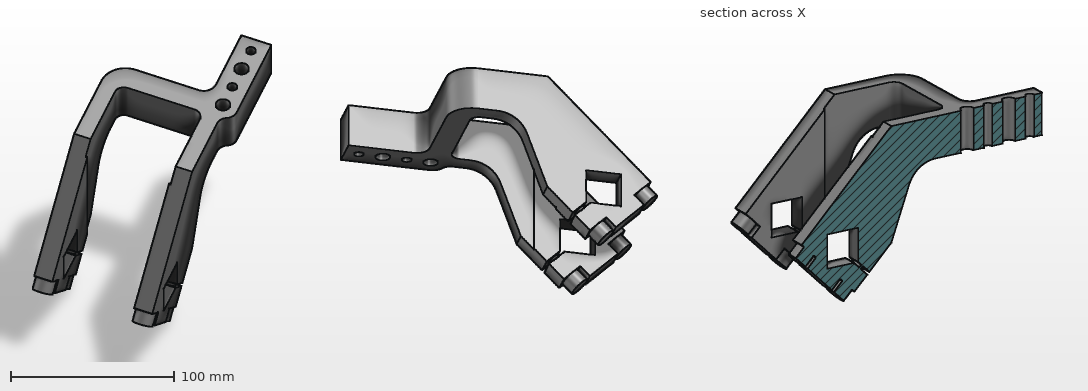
import cadquery as cq
import math

length = 179.5
leg_thickness = 12.0
leg_root_thickness = 11.0
leg_step_y = -117.2
leg_pitch = 66.0
right_outer = leg_pitch + leg_thickness
right_inner = right_outer - leg_root_thickness

mount_left = leg_pitch
mount_width = 20.0
mount_right = mount_left + mount_width
bar_rear_y = -49.2
bar_thickness = 14.9
bar_front_y = bar_rear_y - bar_thickness
bar_height = 27.8
outer_radius = 16.0
inner_radius = 6.0
mount_radius = 8.0
shoulder_radius = 7.0
shoulder_start_y = -56.3

first_hole_y = -9.0
hole_pitch = 15.0
hole_diameters = [6.0, 9.0, 6.0, 9.0]

slope_start_y = -109.3
leg_width = 54.2
knee_y = -109.0
web_angle = 70.0
web_radius = 20.0

window_size = 22.0
window_rear_y = -133.3
window_top_z = -61.9
slit_width = 2.0
screw_seat_depth = 8.6
screw_seat_width = 14.5
screw_inset = 7.5
screw_head_diameter = 13.0
screw_shank_diameter = 8.0
shank_overlap = 3.5

diagonal = math.sqrt(0.5)

end_along = (length + slope_start_y) / diagonal + screw_inset - screw_head_diameter / 2


def leg_point(along, across):
    """Return the (y, z) place of a point given in the sloped axes of the leg."""
    y = slope_start_y - (along - across) * diagonal
    z = -(along + across) * diagonal
    return (y, z)


def plan_body():
    """Fork outline seen from above, as a prism deeper than the legs."""
    shoulder_width = mount_right - right_outer
    turn = math.acos(1 - shoulder_width / (2 * shoulder_radius))
    half_drop = shoulder_radius * math.sin(turn)
    bulge_x = shoulder_radius * (1 - math.cos(turn / 2))
    bulge_y = shoulder_radius * math.sin(turn / 2)
    shoulder_end_y = shoulder_start_y - 2 * half_drop

    outline = (
        cq.Workplane("XY")
        .moveTo(0, -length)
        .lineTo(0, bar_rear_y - outer_radius)
        .radiusArc((outer_radius, bar_rear_y), outer_radius)
        .lineTo(mount_left - mount_radius, bar_rear_y)
        .radiusArc((mount_left, bar_rear_y + mount_radius), -mount_radius)
        .lineTo(mount_left, 0)
        .lineTo(mount_right, 0)
        .lineTo(mount_right, shoulder_start_y)
        .threePointArc(
            (mount_right - bulge_x, shoulder_start_y - bulge_y),
            (mount_right - shoulder_width / 2, shoulder_start_y - half_drop),
        )
        .threePointArc(
            (right_outer + bulge_x, shoulder_end_y + bulge_y),
            (right_outer, shoulder_end_y),
        )
        .lineTo(right_outer, -length)
        .lineTo(leg_pitch, -length)
        .lineTo(leg_pitch, leg_step_y)
        .lineTo(right_inner, leg_step_y)
        .lineTo(right_inner, bar_front_y - inner_radius)
        .radiusArc((right_inner - inner_radius, bar_front_y), -inner_radius)
        .lineTo(leg_root_thickness + inner_radius, bar_front_y)
        .radiusArc((leg_root_thickness, bar_front_y - inner_radius), -inner_radius)
        .lineTo(leg_root_thickness, leg_step_y)
        .lineTo(leg_thickness, leg_step_y)
        .lineTo(leg_thickness, -length)
        .close()
    )
    return outline.extrude(-length)


def side_body():
    """Side profile with a screw seat cut from each corner of the end face."""
    knee_across = leg_width
    knee_along = (slope_start_y - knee_y) / diagonal + knee_across
    knee_z = leg_point(knee_along, knee_across)[1]
    angle = math.radians(web_angle)
    web_top_y = knee_y + (-bar_height - knee_z) / math.tan(angle)
    tangent = web_radius * math.tan(angle / 2)
    web_start = (web_top_y + tangent, -bar_height)
    web_end = (
        web_top_y - tangent * math.cos(angle),
        -bar_height - tangent * math.sin(angle),
    )
    seat_along = end_along - screw_seat_depth
    lower_seat = leg_width - screw_seat_width

    profile = (
        cq.Workplane("YZ")
        .moveTo(0, 0)
        .lineTo(slope_start_y, 0)
        .lineTo(*leg_point(seat_along, 0))
        .lineTo(*leg_point(seat_along, screw_seat_width))
        .lineTo(*leg_point(end_along, screw_seat_width))
        .lineTo(*leg_point(end_along, lower_seat))
        .lineTo(*leg_point(seat_along, lower_seat))
        .lineTo(*leg_point(seat_along, leg_width))
        .lineTo(knee_y, knee_z)
        .lineTo(*web_end)
        .radiusArc(web_start, web_radius)
        .lineTo(0, -bar_height)
        .close()
    )
    return profile.extrude(mount_right)


window_bottom_z = window_top_z - window_size
slit_along = (slope_start_y - window_rear_y - window_bottom_z) * diagonal
slit_end_along = slit_along + slit_width
slit_inner_across = (window_rear_y - slope_start_y - window_bottom_z) * diagonal


def clamp_cutter():
    """Square window and the slit that opens it through the lower leg face."""
    window = (
        cq.Workplane("YZ")
        .center(window_rear_y - window_size / 2, window_top_z - window_size / 2)
        .rect(window_size, window_size)
        .extrude(mount_right)
    )
    slit_start_across = slit_inner_across - slit_width
    slit = (
        cq.Workplane("YZ")
        .polyline([
            leg_point(slit_along, slit_start_across),
            leg_point(slit_end_along, slit_start_across),
            leg_point(slit_end_along, leg_width),
            leg_point(slit_along, leg_width),
        ])
        .close()
        .extrude(mount_right)
    )
    return window.union(slit)


def screw_cylinder(x, across, start_along, end, diameter):
    """Cylinder parallel to the leg slope, between two distances along it."""
    y, z = leg_point(start_along, across)
    axis = cq.Vector(0, -diagonal, -diagonal)
    solid = cq.Solid.makeCylinder(diameter / 2, end - start_along, cq.Vector(x, y, z), axis)
    return cq.Workplane(solid)


body = plan_body().intersect(side_body()).cut(clamp_cutter())

hole_x = mount_left + mount_width / 2
for index, diameter in enumerate(hole_diameters):
    hole_y = first_hole_y - index * hole_pitch
    hole = cq.Workplane("XY").center(hole_x, hole_y).circle(diameter / 2).extrude(-bar_height)
    body = body.cut(hole)

head_along = end_along - screw_seat_depth
lower_screw_across = leg_width - screw_inset
for leg_x in (0, leg_pitch):
    screw_x = leg_x + leg_thickness / 2
    for across in (screw_inset, lower_screw_across):
        head = screw_cylinder(screw_x, across, head_along, end_along, screw_head_diameter)
        body = body.union(head)
    shank = screw_cylinder(
        screw_x,
        lower_screw_across,
        slit_along - shank_overlap,
        slit_end_along + shank_overlap,
        screw_shank_diameter,
    )
    body = body.union(shank)

result = body